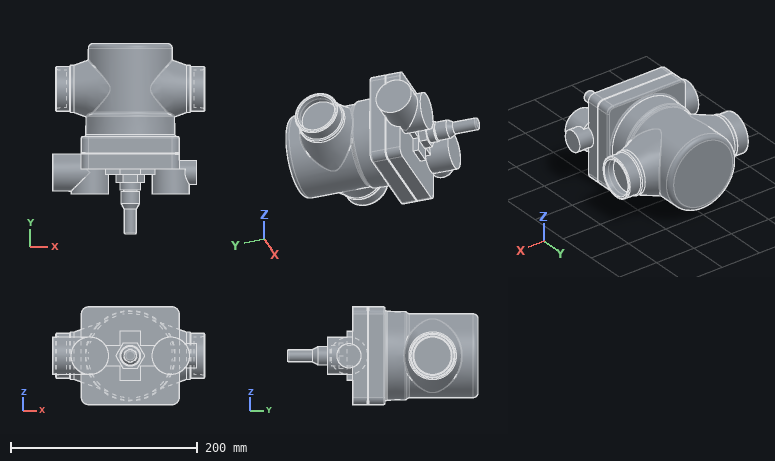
import cadquery as cq
import math


body_diameter = 90.0
body_back_station = -48.8
body_back_fillet = 5.5
shoulder_start_station = 25.7
shoulder_length = 2.9
shoulder_fillet = 2.5
skirt_back_diameter = 94.8
skirt_front_diameter = 95.8
skirt_fillet = 1.8

flange_side = 105.0
flange_corner_radius = 8.0
flange_back_fillet = 1.8
flange_back_station = 50.9
back_plate_thickness = 17.5
gasket_thickness = 1.2
gasket_diameter = 96.5
front_plate_thickness = 16.0
gasket_station = flange_back_station + back_plate_thickness
front_plate_station = gasket_station + gasket_thickness
flange_front_station = front_plate_station + front_plate_thickness

port_reach = 79.9
port_diameter = 48.2
port_end_chamfer = 0.8
port_end_face_diameter = 45.8
collar_diameter = 51.0
collar_inner_reach = 60.0
collar_outer_reach = 63.7
collar_chamfer = 1.2
cone_angle = 20.0
cone_inner_reach = 18.4
cone_fillet = 1.0
bore_diameter = 40.0
bore_mouth_diameter = 42.0
bore_taper_depth = 5.0
bore_depth = 11.6

stub_diameter = 40.0
stub_offset = 43.3
stub_front_station = 112.5
side_pipe_station = 89.5
left_pipe_diameter = stub_diameter
left_pipe_reach = 83.1
right_pipe_diameter = 26.0
right_pipe_reach = 70.9

cross_thickness = 6.1
cross_height = 52.5
cross_upright_width = 22.0
cross_beam_width = 21.7

hex_across_flats = 26.8
hex_thickness = 8.5
stem_shoulder_diameter = 22.0
stem_shoulder_length = 8.0
stem_groove_diameter = 14.5
stem_groove_length = 1.2
stem_barrel_diameter = 20.0
stem_barrel_length = 13.0
stem_taper_length = 6.1
stem_tip_diameter = 13.0
stem_tip_station = 155.5
stem_tip_fillet = 1.8
hex_station = flange_front_station + cross_thickness
hex_front_station = hex_station + hex_thickness


def plane_at(station):
    """Workplane facing forward at a station."""
    return cq.Workplane("XZ", origin=(0, -station, 0))


def turned(profile):
    """Solid turned about the Y axis from (radius, station) corners."""
    points = [(radius, -station) for radius, station in profile]
    return cq.Workplane("XY").polyline(points).close().revolve(360, (0, 0), (0, 1))


def make_body():
    """Round body without its skirt."""
    barrel = (
        plane_at(body_back_station)
        .circle(body_diameter / 2)
        .extrude(flange_back_station - body_back_station)
    )
    return barrel.faces(">Y").edges().fillet(body_back_fillet)


def make_skirt():
    """Slightly tapered skirt with a rounded shoulder, flared into the flange."""
    body_radius = body_diameter / 2
    back_radius = skirt_back_diameter / 2
    front_radius = skirt_front_diameter / 2
    shoulder_end = shoulder_start_station + shoulder_length
    flare_start = flange_back_station - skirt_fillet
    skirt = turned([
        (0, 0),
        (body_radius, 0),
        (body_radius, shoulder_start_station),
        (back_radius, shoulder_end),
        (front_radius, flange_back_station),
        (0, flange_back_station),
    ])
    shoulder_box = cq.selectors.BoxSelector(
        (-front_radius, -shoulder_end - shoulder_fillet, -front_radius),
        (front_radius, -shoulder_start_station + shoulder_fillet, front_radius),
        boundingbox=True,
    )
    skirt = skirt.edges(shoulder_box).edges("%CIRCLE").fillet(shoulder_fillet)
    arc_dip = skirt_fillet * (1 - math.sqrt(0.5))
    flare = (
        cq.Workplane("XY")
        .moveTo(0, -flare_start)
        .lineTo(front_radius, -flare_start)
        .threePointArc(
            (front_radius + arc_dip, -flange_back_station + arc_dip),
            (front_radius + skirt_fillet, -flange_back_station),
        )
        .lineTo(0, -flange_back_station)
        .close()
        .revolve(360, (0, 0), (0, 1))
    )
    return skirt.union(flare)


def make_plate(station, thickness):
    """Square flange plate with rounded corners."""
    plate = plane_at(station).rect(flange_side, flange_side).extrude(thickness)
    return plate.edges("|Y").fillet(flange_corner_radius)


def make_flange():
    """Two square plates held apart by the gasket."""
    back_plate = make_plate(flange_back_station, back_plate_thickness)
    back_plate = back_plate.faces(">Y").edges().fillet(flange_back_fillet)
    gasket = plane_at(gasket_station).circle(gasket_diameter / 2).extrude(gasket_thickness)
    front_plate = make_plate(front_plate_station, front_plate_thickness)
    return back_plate.union(gasket).union(front_plate)


def port_cone(side):
    """Cone that widens from the collar into the body; side is -1 or 1."""
    collar_radius = collar_diameter / 2
    cone_length = collar_inner_reach - cone_inner_reach
    cone_radius = collar_radius + cone_length * math.tan(math.radians(cone_angle))
    return (
        cq.Workplane("XY")
        .polyline([
            (0, 0),
            (0, cone_radius),
            (side * cone_inner_reach, cone_radius),
            (side * collar_inner_reach, collar_radius),
            (side * collar_inner_reach, 0),
        ])
        .close()
        .revolve(360, (0, 0), (1, 0))
    )


def port_end(side):
    """Collar and hollow pipe end outside the cone; side is -1 or 1."""
    bore_floor_reach = port_reach - bore_depth
    return (
        cq.Workplane("XY")
        .polyline([
            (side * collar_inner_reach, 0),
            (side * collar_inner_reach, collar_diameter / 2),
            (side * collar_outer_reach, collar_diameter / 2),
            (side * (collar_outer_reach + collar_chamfer), port_diameter / 2),
            (side * (port_reach - port_end_chamfer), port_diameter / 2),
            (side * port_reach, port_end_face_diameter / 2),
            (side * port_reach, bore_mouth_diameter / 2),
            (side * (port_reach - bore_taper_depth), bore_diameter / 2),
            (side * bore_floor_reach, bore_diameter / 2),
            (side * bore_floor_reach, 0),
        ])
        .close()
        .revolve(360, (0, 0), (1, 0))
    )


def make_pilot(side, pipe_diameter, pipe_reach):
    """Stub on the flange front with a pipe leaving sideways; side is -1 or 1."""
    stub = (
        plane_at(flange_front_station)
        .center(side * stub_offset, 0)
        .circle(stub_diameter / 2)
        .extrude(stub_front_station - flange_front_station)
    )
    pipe = (
        cq.Workplane("YZ", origin=(side * stub_offset, -side_pipe_station, 0))
        .circle(pipe_diameter / 2)
        .extrude(side * (pipe_reach - stub_offset))
    )
    return stub.union(pipe)


def make_cross():
    """Raised cross whose beam joins the two stubs."""
    base = plane_at(flange_front_station)
    upright = base.rect(cross_upright_width, cross_height).extrude(cross_thickness)
    beam = base.rect(2 * stub_offset, cross_beam_width).extrude(cross_thickness)
    return upright.union(beam)


def make_stem():
    """Hexagon and the turned stem in front of it."""
    hex_across_corners = hex_across_flats / math.cos(math.radians(30))
    hexagon = plane_at(hex_station).polygon(6, hex_across_corners).extrude(hex_thickness)
    groove_start = hex_front_station + stem_shoulder_length
    barrel_start = groove_start + stem_groove_length
    taper_start = barrel_start + stem_barrel_length
    taper_end = taper_start + stem_taper_length
    stem = turned([
        (0, hex_station),
        (stem_shoulder_diameter / 2, hex_station),
        (stem_shoulder_diameter / 2, groove_start),
        (stem_groove_diameter / 2, groove_start),
        (stem_groove_diameter / 2, barrel_start),
        (stem_barrel_diameter / 2, barrel_start),
        (stem_barrel_diameter / 2, taper_start),
        (stem_tip_diameter / 2, taper_end),
        (stem_tip_diameter / 2, stem_tip_station),
        (0, stem_tip_station),
    ])
    stem = stem.faces("<Y").edges().fillet(stem_tip_fillet)
    return hexagon.union(stem)


def build():
    """Join all pieces; the cone roots are filleted before the port ends go on."""
    sides = (-1, 1)
    valve = make_body().union(make_skirt())
    for side in sides:
        valve = valve.union(port_cone(side))
    valve = valve.edges("%BSPLINE").fillet(cone_fillet)
    for side in sides:
        valve = valve.union(port_end(side))
    valve = valve.union(make_flange())
    valve = valve.union(make_pilot(-1, left_pipe_diameter, left_pipe_reach))
    valve = valve.union(make_pilot(1, right_pipe_diameter, right_pipe_reach))
    return valve.union(make_cross()).union(make_stem())


result = build()